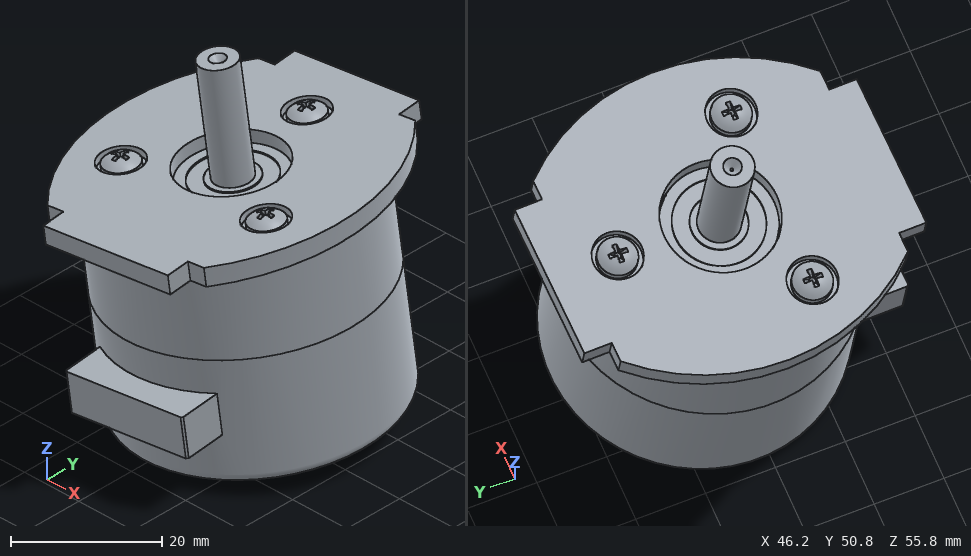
import cadquery as cq
import math


plate_thickness = 3.0
plate_length = 50.0
plate_width = 44.6
tab_width = 22.35
shoulder_length = 42.0
side_arc_radius = 30.85
pilot_hole_diameter = 16.3

housing_diameter = 42.0
front_housing_length = 14.45
rear_housing_length = 19.65
front_chamfer = 0.5
rear_fillet = 1.5
pilot_boss_diameter = 16.0
pilot_boss_depth = 2.0
bearing_diameter = 12.6
bearing_recess = 0.2
collar_diameter = 7.9

connector_width = 21.0
connector_height = 6.55
connector_reach = 25.15
connector_drop = 5.25
connector_corner_chamfer = 0.3

shaft_diameter = 6.0
shaft_reach = 16.6
centre_hole_diameter = 2.5
centre_hole_bottom = 0.4
centre_hole_depth = 1.05

screw_count = 3
screw_circle_radius = 15.0
screw_first_angle = 90.0
screw_head_diameter = 5.6
screw_rim_height = 1.0
screw_dome_height = 1.2
counterbore_diameter = 7.0
counterbore_depth = 1.25
shank_diameter = 3.0
slot_length = 3.15
slot_width = 0.6
slot_depth = 1.1
socket_diameter = 0.9
socket_tip_depth = 0.3

spin_about_z = 2.0
tilt_about_x = 3.9
tilt_about_y = -4.9

plate_bottom = -plate_thickness
boss_face = -pilot_boss_depth
housing_joint = plate_bottom - front_housing_length
rear_end = housing_joint - rear_housing_length
screw_angles = [screw_first_angle + i * 360.0 / screw_count for i in range(screw_count)]
screw_points = [
    (screw_circle_radius * math.cos(math.radians(a)), screw_circle_radius * math.sin(math.radians(a)))
    for a in screw_angles
]


def cylinder(diameter, bottom, top):
    return cq.Workplane("XY").workplane(offset=bottom).circle(diameter / 2).extrude(top - bottom)


def make_plate():
    half_shoulder = shoulder_length / 2
    arc_centre_x = side_arc_radius - plate_width / 2
    shoulder_x = math.sqrt(side_arc_radius**2 - half_shoulder**2) - arc_centre_x
    body = (
        cq.Workplane("XY")
        .workplane(offset=plate_bottom)
        .moveTo(shoulder_x, -half_shoulder)
        .threePointArc((plate_width / 2, 0), (shoulder_x, half_shoulder))
        .lineTo(-shoulder_x, half_shoulder)
        .threePointArc((-plate_width / 2, 0), (-shoulder_x, -half_shoulder))
        .close()
        .extrude(plate_thickness)
    )
    tabs = (
        cq.Workplane("XY")
        .workplane(offset=plate_bottom)
        .rect(tab_width, plate_length)
        .extrude(plate_thickness)
    )
    body = body.union(tabs)
    body = body.cut(cylinder(pilot_hole_diameter, plate_bottom, 0))
    for point in screw_points:
        body = body.cut(cylinder(counterbore_diameter, -counterbore_depth, 0).translate(point))
        body = body.cut(cylinder(shank_diameter, plate_bottom, 0).translate(point))
    return body


def make_front_housing():
    body = cylinder(housing_diameter, housing_joint, plate_bottom)
    body = body.faces(">Z").edges().chamfer(front_chamfer)
    body = body.union(cylinder(pilot_boss_diameter, housing_joint, boss_face))
    body = body.cut(cylinder(bearing_diameter, boss_face - bearing_recess, boss_face))
    return body.cut(cylinder(collar_diameter, housing_joint, boss_face))


def make_rear_housing():
    body = cylinder(housing_diameter, rear_end, housing_joint)
    body = body.faces("<Z").edges().fillet(rear_fillet)
    connector_top = housing_joint - connector_drop
    block = (
        cq.Workplane("XY")
        .workplane(offset=connector_top - connector_height)
        .center(0, -connector_reach / 2)
        .rect(connector_width, connector_reach)
        .extrude(connector_height)
        .edges("|Z and <Y")
        .chamfer(connector_corner_chamfer)
    )
    return body.union(block)


def make_shaft():
    body = cylinder(shaft_diameter, housing_joint, shaft_reach)
    body = body.union(cylinder(collar_diameter, housing_joint, boss_face))
    cone = cq.Solid.makeCone(
        centre_hole_bottom / 2,
        centre_hole_diameter / 2,
        centre_hole_depth,
        pnt=cq.Vector(0, 0, shaft_reach - centre_hole_depth),
    )
    return body.cut(cq.Workplane(cone))


def make_screw():
    r = screw_head_diameter / 2
    rim = screw_rim_height - counterbore_depth
    crown = rim + screw_dome_height
    dome_radius = (r**2 + screw_dome_height**2) / (2 * screw_dome_height)
    mid_x = r / 2
    mid_z = crown - dome_radius + math.sqrt(dome_radius**2 - mid_x**2)
    screw = (
        cq.Workplane("XZ")
        .moveTo(0, plate_bottom)
        .lineTo(shank_diameter / 2, plate_bottom)
        .lineTo(shank_diameter / 2, -counterbore_depth)
        .lineTo(r, -counterbore_depth)
        .lineTo(r, rim)
        .threePointArc((mid_x, mid_z), (0, crown))
        .close()
        .revolve(360, (0, 0, 0), (0, 1, 0))
    )
    slot = (
        cq.Workplane("XZ")
        .moveTo(-slot_length / 2, crown)
        .lineTo(slot_length / 2, crown)
        .lineTo(socket_diameter / 2, crown - slot_depth)
        .lineTo(-socket_diameter / 2, crown - slot_depth)
        .close()
        .extrude(slot_width / 2, both=True)
    )
    for angle in (0, 90):
        screw = screw.cut(slot.rotate((0, 0, 0), (0, 0, 1), angle))
    screw = screw.cut(cylinder(socket_diameter, crown - slot_depth, crown))
    tip = cq.Solid.makeCone(
        0,
        socket_diameter / 2,
        socket_tip_depth,
        pnt=cq.Vector(0, 0, crown - slot_depth - socket_tip_depth),
    )
    return screw.cut(cq.Workplane(tip))


def attitude(body):
    body = body.rotate((0, 0, 0), (0, 0, 1), spin_about_z)
    body = body.rotate((0, 0, 0), (1, 0, 0), tilt_about_x)
    return body.rotate((0, 0, 0), (0, 1, 0), tilt_about_y)


plate = attitude(make_plate())
front_housing = attitude(make_front_housing())
rear_housing = attitude(make_rear_housing())
shaft = attitude(make_shaft())
screws = [attitude(make_screw().translate(point)) for point in screw_points]

result = cq.Compound.makeCompound(
    [plate.val(), front_housing.val(), rear_housing.val(), shaft.val(), *[s.val() for s in screws]]
)